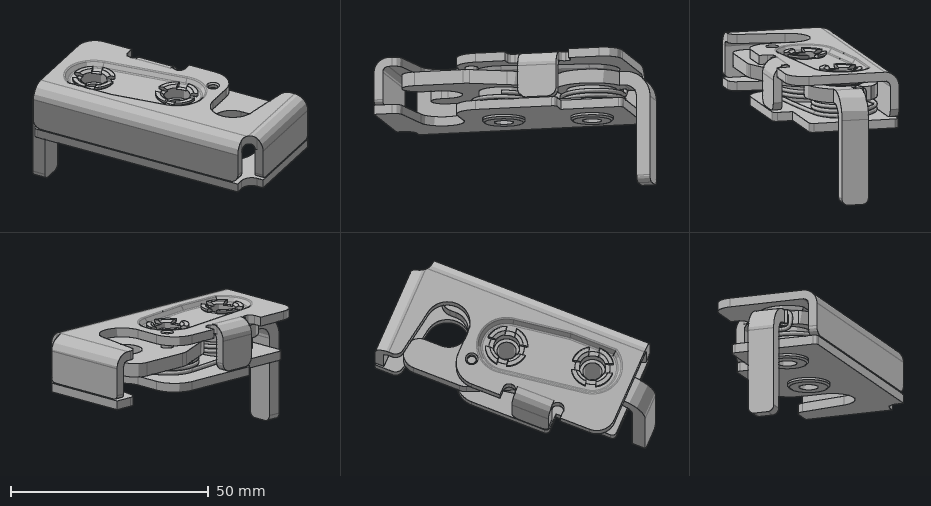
import cadquery as cq
import math

LENGTH = 63.55
WIDTH = 28.55
TOP_Z = 14.55
SHEET = 2.35
WALL_BOTTOM_Z = 2.6
BEND_RADIUS = 3.8
BACK_CORNER_RADIUS = 4.8
WALL_CORNER_RADIUS = 2.2
SMALL_CORNER_RADIUS = 1.1

RELIEF_X = 58.9
RELIEF_Y = 4.9
RELIEF_RADIUS = 2.9

THROAT_LEFT_X = 43.4
THROAT_DIAMETER = 11.4
THROAT_CORNER_RADIUS = 6.35
THROAT_ANGLE = 9
THROAT_TIP_RADIUS = 2.2

TAB_LEFT_X = 16.1
TAB_WIDTH = 10.0
TAB_SLOT_WIDTH = 3.25
TAB_SLOT_RADIUS = 1.6
PLATE_STEP_Y = 23.45

LEFT_PIVOT = (10.7, 12.35)
RIGHT_PIVOT = (32.9, 15.45)
LEFT_NOTCH_ANGLE = 17
RIGHT_NOTCH_ANGLE = 8
PIN_SHANK_DIAMETER = 9
PIN_SHOULDER_DIAMETER = 12.7
PIN_NECK_DIAMETER = 11.1
PIN_HEAD_DIAMETER = 10.75
PIN_HEAD_HEIGHT = 1.05
PIN_HEAD_CHAMFER = 0.5
PIN_CROWN_HEIGHT = 1.0
PIN_CROWN_FLARE = 0.4
PIN_MOUTH_DIAMETER = 8.4
PIN_MOUTH_DEPTH = 0.55
PIN_CUP_DIAMETER = 6.6
PIN_CUP_DEPTH = 3.45
PIN_BORE_DIAMETER = 4.8
PIN_NOTCH_WIDTH = 2.55
PIN_NOTCH_COUNT = 4

POCKET_DEPTH = 1.45
POCKET_TOP_RADIUS = 7.4
POCKET_FLOOR_RADIUS = 6.35
BULGE_TOP_RADIUS = 7.05
BULGE_BOTTOM_RADIUS = 6.55
POCKET_EDGE_RADIUS = 0.5
BULGE_EDGE_RADIUS = 0.6
POCKET_FRONT_CUTBACK = 1.1

PIP_CENTRE = (39.7, 22.2)
PIP_DIAMETER = 3.2
PIP_FLOOR_DIAMETER = 2.35
PIP_RECESS_DEPTH = 1.25

LEVER_BOTTOM_Z = 6.9
LEVER_TOP_Z = 10.4
HUB_RADIUS = 9.25
TRIGGER_LEFT_X = -5.45
TRIGGER_BOTTOM_Z = -18.15
TRIGGER_FRONT_Y = 9.6
TRIGGER_WIDTH = 7.0
TRIGGER_BEND_RADIUS = 6.6
TRIGGER_END_RADIUS = 1.65
JAW_WIDTH = 9.7
JAW_CENTRE_X = 48.7
UPPER_FINGER_END_X = 57.1
LOWER_FINGER_END_X = 53.8
LOWER_FINGER_WIDTH = 6.9
ROTOR_SHOULDER_X = 39.45
ROTOR_SHOULDER_RADIUS = 4.15
ROTOR_BACK_ANGLE = 120
ROTOR_FRONT_ANGLE = -105

WIRE_DIAMETER = 1.05
COIL_RADIUS = 7.85
COIL_PITCH = 1.2
COIL_BOTTOM_Z = 3.05
LEFT_COIL_Y = 11.45
RIGHT_COIL_Y = 14.8
EXTRA_TURNS = 2
HOOK_ANGLE = 186
HOOK_RADIUS = 2.35
HOOK_CLEARANCE = 0.2

UNDERSIDE_Z = TOP_Z - SHEET
POCKET_FLOOR_Z = TOP_Z - POCKET_DEPTH
BULGE_BOTTOM_Z = UNDERSIDE_Z - POCKET_DEPTH
TAB_RIGHT_X = TAB_LEFT_X + TAB_WIDTH
TAB_FRONT_Y = WIDTH - BEND_RADIUS
LEVER_THICKNESS = LEVER_TOP_Z - LEVER_BOTTOM_Z
PIVOTS = [LEFT_PIVOT, RIGHT_PIVOT]


def polar(centre, radius, degrees):
    """Point at a distance and a direction from a centre."""
    angle = math.radians(degrees)
    return (centre[0] + radius * math.cos(angle), centre[1] + radius * math.sin(angle))


def block(x_range, y_range, z_range):
    """Box between two limits on each axis."""
    size = [high - low for low, high in (x_range, y_range, z_range)]
    return cq.Workplane("XY").box(*size, centered=False).translate((x_range[0], y_range[0], z_range[0]))


def cylinder(centre, diameter, bottom, top):
    """Upright cylinder between two heights."""
    return cq.Workplane("XY", origin=(*centre, bottom)).circle(diameter / 2).extrude(top - bottom)


def throat_cut():
    """Tall prism of the striker throat, with the rounded sheet corners on both sides of its mouth."""
    radius = THROAT_DIAMETER / 2
    centre = (THROAT_LEFT_X + radius, RIGHT_PIVOT[1])
    corner_centre = (THROAT_LEFT_X - THROAT_CORNER_RADIUS, WIDTH - THROAT_CORNER_RADIUS)
    lean_start = polar(centre, radius, -THROAT_ANGLE)
    lean = math.radians(THROAT_ANGLE)
    tip_x = lean_start[0] + (WIDTH - lean_start[1]) * math.tan(lean)
    tip_length = THROAT_TIP_RADIUS * math.tan(math.pi / 4 - lean / 2)
    tip_centre = (tip_x + tip_length, WIDTH - THROAT_TIP_RADIUS)
    tip_end_angle = 180 - THROAT_ANGLE
    return (
        cq.Workplane("XY")
        .moveTo(corner_centre[0], WIDTH)
        .threePointArc(polar(corner_centre, THROAT_CORNER_RADIUS, 45), (THROAT_LEFT_X, corner_centre[1]))
        .lineTo(THROAT_LEFT_X, centre[1])
        .threePointArc(polar(centre, radius, -90), lean_start)
        .lineTo(*polar(tip_centre, THROAT_TIP_RADIUS, tip_end_angle))
        .threePointArc(
            polar(tip_centre, THROAT_TIP_RADIUS, (tip_end_angle + 90) / 2), (tip_centre[0], WIDTH)
        )
        .close()
        .extrude(TOP_Z)
    )


def corner_relief_cut():
    """Tall prism of the relief at the front right corner, rounded on the inside."""
    relief = block((RELIEF_X, LENGTH), (0, RELIEF_Y), (0, TOP_Z))
    return relief.edges("|Z and <X and >Y").fillet(RELIEF_RADIUS)


def bend(plane, length):
    """Quarter bend from the outer face at local X 0 up to the top sheet, extruded along the plane normal."""
    inner_radius = BEND_RADIUS - SHEET
    centre = (BEND_RADIUS, TOP_Z - BEND_RADIUS)
    return (
        cq.Workplane(plane)
        .moveTo(0, centre[1])
        .threePointArc(polar(centre, BEND_RADIUS, 135), (BEND_RADIUS, TOP_Z))
        .lineTo(BEND_RADIUS, UNDERSIDE_Z)
        .threePointArc(polar(centre, inner_radius, 135), (SHEET, centre[1]))
        .close()
        .extrude(length)
    )


def wall(x_range, y_range, thickness_axis, corner_radius):
    """Flat wall below a bend, with its lower corners rounded."""
    flat = block(x_range, y_range, (WALL_BOTTOM_Z, TOP_Z - BEND_RADIUS))
    return flat.faces("<Z").edges("|" + thickness_axis).fillet(corner_radius)


def front_wall():
    plane = cq.Plane(origin=(0, 0, 0), xDir=(0, 1, 0), normal=(1, 0, 0))
    flat = wall((0, RELIEF_X), (0, SHEET), "Y", WALL_CORNER_RADIUS)
    return flat.union(bend(plane, LENGTH - BEND_RADIUS))


def end_flange():
    plane = cq.Plane(origin=(LENGTH, BEND_RADIUS, 0), xDir=(-1, 0, 0), normal=(0, 1, 0))
    flat = wall((LENGTH - SHEET, LENGTH), (RELIEF_Y, WIDTH), "X", SMALL_CORNER_RADIUS)
    return flat.union(bend(plane, WIDTH - BEND_RADIUS))


def rear_tab():
    plane = cq.Plane(origin=(TAB_RIGHT_X, WIDTH, 0), xDir=(0, -1, 0), normal=(-1, 0, 0))
    flat = wall((TAB_LEFT_X, TAB_RIGHT_X), (WIDTH - SHEET, WIDTH), "Y", WALL_CORNER_RADIUS)
    return flat.union(bend(plane, TAB_WIDTH))


def tab_slot(left_x):
    """Relief slot beside the rear tab, with a round inner end."""
    slot = block((left_x, left_x + TAB_SLOT_WIDTH), (TAB_FRONT_Y, WIDTH), (UNDERSIDE_Z, TOP_Z))
    return slot.edges("|Z and <Y").fillet(TAB_SLOT_RADIUS)


def top_sheet():
    sheet = block((0, LENGTH - BEND_RADIUS), (BEND_RADIUS, WIDTH), (UNDERSIDE_Z, TOP_Z))
    sheet = sheet.edges("|Z and <X and >Y").fillet(BACK_CORNER_RADIUS)
    tab_space = block((TAB_LEFT_X, TAB_RIGHT_X), (TAB_FRONT_Y, WIDTH), (UNDERSIDE_Z, TOP_Z))
    sheet = sheet.cut(tab_space)
    for left_x in (TAB_LEFT_X - TAB_SLOT_WIDTH, TAB_RIGHT_X):
        sheet = sheet.cut(tab_slot(left_x))
    return sheet


def pocket_outline(work, radius):
    """Outline round both pins at one radius, cut off flat along the front of the left pin."""
    run = RIGHT_PIVOT[0] - LEFT_PIVOT[0]
    rise = RIGHT_PIVOT[1] - LEFT_PIVOT[1]
    tilt = math.degrees(math.atan2(rise, run))
    flat_depth = radius - POCKET_FRONT_CUTBACK
    flat_y = LEFT_PIVOT[1] - flat_depth
    flat_left_x = LEFT_PIVOT[0] - math.sqrt(radius**2 - flat_depth**2)
    lower_left = polar(LEFT_PIVOT, radius, tilt - 90)
    flat_right_x = lower_left[0] + (flat_y - lower_left[1]) * run / rise
    return (
        work.moveTo(flat_left_x, flat_y)
        .threePointArc(polar(LEFT_PIVOT, radius, 180), polar(LEFT_PIVOT, radius, tilt + 90))
        .lineTo(*polar(RIGHT_PIVOT, radius, tilt + 90))
        .threePointArc(polar(RIGHT_PIVOT, radius, tilt), polar(RIGHT_PIVOT, radius, tilt - 90))
        .lineTo(flat_right_x, flat_y)
        .close()
    )


def pocket_shape(bottom_z, bottom_radius, top_z, top_radius):
    """Solid with sloping sides between two pocket outlines."""
    lower = pocket_outline(cq.Workplane("XY", origin=(0, 0, bottom_z)), bottom_radius)
    return pocket_outline(lower.workplane(offset=top_z - bottom_z), top_radius).loft(ruled=True)


def add_pocket(housing):
    """Press the pin pocket into the top, with the bulge it leaves below."""
    bulge = pocket_shape(BULGE_BOTTOM_Z, BULGE_BOTTOM_RADIUS, UNDERSIDE_Z, BULGE_TOP_RADIUS)
    bulge = bulge.faces("<Z").edges().fillet(BULGE_EDGE_RADIUS)
    pocket = pocket_shape(POCKET_FLOOR_Z, POCKET_FLOOR_RADIUS, TOP_Z, POCKET_TOP_RADIUS)
    pocket = pocket.faces("<Z").edges().fillet(POCKET_EDGE_RADIUS)
    housing = housing.union(bulge).cut(pocket)
    rim = cq.selectors.BoxSelector(
        (LEFT_PIVOT[0] - POCKET_TOP_RADIUS, LEFT_PIVOT[1] - POCKET_TOP_RADIUS, POCKET_FLOOR_Z),
        (RIGHT_PIVOT[0] + POCKET_TOP_RADIUS, RIGHT_PIVOT[1] + POCKET_TOP_RADIUS, TOP_Z + SHEET),
    )
    return housing.faces(">Z").edges(rim).fillet(POCKET_EDGE_RADIUS)


def add_stop_pip(housing):
    """Press the stop pip out of the underside, with a recess above it that is chamfered at the rim."""
    housing = housing.union(cylinder(PIP_CENTRE, PIP_DIAMETER, BULGE_BOTTOM_Z, UNDERSIDE_Z))
    recess = cylinder(PIP_CENTRE, PIP_FLOOR_DIAMETER, TOP_Z - PIP_RECESS_DEPTH, TOP_Z)
    chamfer = (PIP_DIAMETER - PIP_FLOOR_DIAMETER) / 2
    rim = cq.Workplane("XY", origin=(*PIP_CENTRE, TOP_Z - chamfer)).circle(PIP_FLOOR_DIAMETER / 2)
    rim = rim.workplane(offset=chamfer).circle(PIP_DIAMETER / 2).loft()
    return housing.cut(recess).cut(rim)


def make_housing():
    housing = top_sheet().union(front_wall()).union(end_flange()).union(rear_tab())
    housing = housing.cut(throat_cut()).cut(corner_relief_cut())
    housing = add_stop_pip(add_pocket(housing))
    for pivot in PIVOTS:
        housing = housing.cut(cylinder(pivot, PIN_SHANK_DIAMETER, BULGE_BOTTOM_Z, TOP_Z))
    return housing


def make_plate():
    plate = block((0, LENGTH), (0, WIDTH), (0, SHEET))
    plate = plate.cut(block((0, TAB_LEFT_X), (PLATE_STEP_Y, WIDTH), (0, SHEET)))
    for corner in ((0, 0), (0, PLATE_STEP_Y), (TAB_LEFT_X, WIDTH)):
        corner_edge = cq.selectors.NearestToPointSelector((*corner, SHEET / 2))
        plate = plate.edges(corner_edge).fillet(SMALL_CORNER_RADIUS)
    plate = plate.cut(throat_cut()).cut(corner_relief_cut())
    for pivot in PIVOTS:
        plate = plate.cut(cylinder(pivot, PIN_SHANK_DIAMETER, 0, SHEET))
    return plate


def make_pin(pivot, notch_angle):
    """Riveted hollow pin: head under the plate, stepped barrel, notched crown in the pocket."""
    head = PIN_HEAD_DIAMETER / 2
    shank = PIN_SHANK_DIAMETER / 2
    shoulder = PIN_SHOULDER_DIAMETER / 2
    neck = PIN_NECK_DIAMETER / 2
    bore = PIN_BORE_DIAMETER / 2
    cup = PIN_CUP_DIAMETER / 2
    crown_z = POCKET_FLOOR_Z + PIN_CROWN_HEIGHT
    profile = [
        (bore, -PIN_HEAD_HEIGHT),
        (head - PIN_HEAD_CHAMFER, -PIN_HEAD_HEIGHT),
        (head, PIN_HEAD_CHAMFER - PIN_HEAD_HEIGHT),
        (head, 0),
        (shank, 0),
        (shank, SHEET),
        (shoulder, SHEET),
        (shoulder, LEVER_BOTTOM_Z),
        (neck, LEVER_BOTTOM_Z),
        (neck, BULGE_BOTTOM_Z),
        (shank, BULGE_BOTTOM_Z),
        (shank, POCKET_FLOOR_Z),
        (head - PIN_CROWN_FLARE, POCKET_FLOOR_Z),
        (head, POCKET_FLOOR_Z + PIN_CROWN_FLARE),
        (head, crown_z),
        (PIN_MOUTH_DIAMETER / 2, crown_z),
        (cup, crown_z - PIN_MOUTH_DEPTH),
        (cup, crown_z - PIN_CUP_DEPTH),
        (bore, crown_z - PIN_CUP_DEPTH),
    ]
    pin = cq.Workplane("XZ").polyline(profile).close().revolve(360, (0, 0), (0, 1))
    half_notch = PIN_NOTCH_WIDTH / 2
    notch = block((0, head), (-half_notch, half_notch), (POCKET_FLOOR_Z, crown_z))
    for index in range(PIN_NOTCH_COUNT):
        turn = notch_angle + index * 360 / PIN_NOTCH_COUNT
        pin = pin.cut(notch.rotate((0, 0, 0), (0, 0, 1), turn))
    return pin.translate((*pivot, 0))


def trigger_arm():
    """Flat arm bent down into the finger pull."""
    centre = (TRIGGER_LEFT_X + TRIGGER_BEND_RADIUS, LEVER_TOP_Z - TRIGGER_BEND_RADIUS)
    inner_radius = TRIGGER_BEND_RADIUS - LEVER_THICKNESS
    inner_x = TRIGGER_LEFT_X + LEVER_THICKNESS
    arm = (
        cq.Workplane("XZ", origin=(0, TRIGGER_FRONT_Y, 0))
        .moveTo(TRIGGER_LEFT_X, TRIGGER_BOTTOM_Z)
        .lineTo(TRIGGER_LEFT_X, centre[1])
        .threePointArc(polar(centre, TRIGGER_BEND_RADIUS, 135), (centre[0], LEVER_TOP_Z))
        .lineTo(LEFT_PIVOT[0], LEVER_TOP_Z)
        .lineTo(LEFT_PIVOT[0], LEVER_BOTTOM_Z)
        .lineTo(centre[0], LEVER_BOTTOM_Z)
        .threePointArc(polar(centre, inner_radius, 135), (inner_x, centre[1]))
        .lineTo(inner_x, TRIGGER_BOTTOM_Z)
        .close()
        .extrude(-TRIGGER_WIDTH)
    )
    return arm.faces("<Z").edges("|X").fillet(TRIGGER_END_RADIUS)


def hook_start():
    """Point in plan where the left coil ends and its hook begins."""
    return polar((LEFT_PIVOT[0], LEFT_COIL_Y), COIL_RADIUS, HOOK_ANGLE)


def make_trigger():
    trigger = trigger_arm().union(cylinder(LEFT_PIVOT, 2 * HUB_RADIUS, LEVER_BOTTOM_Z, LEVER_TOP_Z))
    trigger = trigger.cut(cylinder(LEFT_PIVOT, PIN_NECK_DIAMETER, LEVER_BOTTOM_Z, LEVER_TOP_Z))
    hook_x, hook_y = hook_start()
    half_notch = WIRE_DIAMETER / 2 + HOOK_CLEARANCE
    hook_notch = block(
        (hook_x - half_notch, hook_x + half_notch),
        (0, hook_y + half_notch),
        (LEVER_BOTTOM_Z, LEVER_TOP_Z),
    )
    return trigger.cut(hook_notch)


def make_rotor():
    """Fork-shaped catch: hub on the right pin and two fingers either side of the jaw."""
    jaw_half = JAW_WIDTH / 2
    jaw_top = RIGHT_PIVOT[1] + jaw_half
    jaw_bottom = RIGHT_PIVOT[1] - jaw_half
    upper_radius = (WIDTH - jaw_top) / 2
    upper_end_x = UPPER_FINGER_END_X - upper_radius
    lower_radius = LOWER_FINGER_WIDTH / 2
    lower_end_x = LOWER_FINGER_END_X - lower_radius
    rotor = (
        cq.Workplane("XY", origin=(0, 0, LEVER_BOTTOM_Z))
        .moveTo(*polar(RIGHT_PIVOT, HUB_RADIUS, ROTOR_BACK_ANGLE))
        .lineTo(ROTOR_SHOULDER_X, WIDTH)
        .lineTo(upper_end_x, WIDTH)
        .threePointArc((UPPER_FINGER_END_X, jaw_top + upper_radius), (upper_end_x, jaw_top))
        .lineTo(JAW_CENTRE_X, jaw_top)
        .threePointArc((JAW_CENTRE_X - jaw_half, RIGHT_PIVOT[1]), (JAW_CENTRE_X, jaw_bottom))
        .lineTo(lower_end_x, jaw_bottom)
        .threePointArc(
            (LOWER_FINGER_END_X, jaw_bottom - lower_radius), (lower_end_x, jaw_bottom - LOWER_FINGER_WIDTH)
        )
        .lineTo(JAW_CENTRE_X - jaw_half, jaw_bottom - LOWER_FINGER_WIDTH)
        .lineTo(*polar(RIGHT_PIVOT, HUB_RADIUS, ROTOR_FRONT_ANGLE))
        .close()
        .extrude(LEVER_THICKNESS)
    )
    shoulder = (ROTOR_SHOULDER_X, WIDTH, LEVER_BOTTOM_Z + LEVER_THICKNESS / 2)
    rotor = rotor.edges(cq.selectors.NearestToPointSelector(shoulder)).fillet(ROTOR_SHOULDER_RADIUS)
    rotor = rotor.union(cylinder(RIGHT_PIVOT, 2 * HUB_RADIUS, LEVER_BOTTOM_Z, LEVER_TOP_Z))
    return rotor.cut(cylinder(RIGHT_PIVOT, PIN_NECK_DIAMETER, LEVER_BOTTOM_Z, LEVER_TOP_Z))


def wire_along(path, start, direction):
    """Round wire swept along a path."""
    plane = cq.Plane(origin=start, normal=direction)
    return cq.Workplane(plane).circle(WIRE_DIAMETER / 2).sweep(cq.Workplane(obj=path), isFrenet=True)


def wire_through(points, directions):
    """Round wire swept along a smooth curve with given end directions."""
    vectors = [cq.Vector(*point) for point in points]
    curve = cq.Edge.makeSpline(vectors, tangents=[cq.Vector(*direction) for direction in directions])
    return wire_along(cq.Wire.assembleEdges([curve]), points[0], directions[0])


def climb_direction(angle, turn):
    """Wire direction at an angle round a coil; turn is 1 for counterclockwise, -1 for clockwise."""
    along = polar((0, 0), turn, angle + 90)
    return (*along, COIL_PITCH / (2 * math.pi * COIL_RADIUS))


def make_coil(centre, start_angle, sweep_angle):
    """Coil that climbs from the lowest turn; a negative sweep winds clockwise."""
    height = COIL_PITCH * abs(sweep_angle) / 360
    path = cq.Wire.makeHelix(COIL_PITCH, height, COIL_RADIUS, lefthand=sweep_angle < 0)
    turn = math.copysign(1, sweep_angle)
    coil = wire_along(path, (COIL_RADIUS, 0, 0), climb_direction(0, turn))
    return coil.rotate((0, 0, 0), (0, 0, 1), start_angle).translate((*centre, COIL_BOTTOM_Z))


def make_spring():
    """One wire: left coil with its hook, a bridge along the back, and the right coil."""
    left_centre = (LEFT_PIVOT[0], LEFT_COIL_Y)
    right_centre = (RIGHT_PIVOT[0], RIGHT_COIL_Y)
    run = right_centre[0] - left_centre[0]
    rise = right_centre[1] - left_centre[1]
    bridge_angle = math.degrees(math.atan2(rise, run)) + 90
    left_sweep = 360 * EXTRA_TURNS + HOOK_ANGLE - bridge_angle

    left_coil = make_coil(left_centre, bridge_angle, left_sweep)
    right_coil = make_coil(right_centre, bridge_angle, -360 * EXTRA_TURNS)

    bridge_ends = [
        (*polar(centre, COIL_RADIUS, bridge_angle), COIL_BOTTOM_Z) for centre in (left_centre, right_centre)
    ]
    left_climb = climb_direction(bridge_angle, 1)
    right_climb = climb_direction(bridge_angle, -1)
    left_descent = [-part for part in left_climb]
    bridge = wire_through(bridge_ends, [left_descent, right_climb])

    hook_x, hook_y = hook_start()
    hook_z = COIL_BOTTOM_Z + COIL_PITCH * left_sweep / 360
    hook_points = [
        (hook_x, hook_y, hook_z),
        (hook_x, hook_y - HOOK_RADIUS, hook_z + HOOK_RADIUS),
        (hook_x, hook_y, hook_z + 2 * HOOK_RADIUS),
    ]
    hook = wire_through(hook_points, [climb_direction(HOOK_ANGLE, 1), (0, 1, 0)])
    return left_coil.union(bridge).union(right_coil).union(hook)


housing = make_housing()
plate = make_plate()
trigger = make_trigger()
rotor = make_rotor()
spring = make_spring()
pins = [
    make_pin(pivot, notch_angle)
    for pivot, notch_angle in zip(PIVOTS, (LEFT_NOTCH_ANGLE, RIGHT_NOTCH_ANGLE))
]

result = cq.Compound.makeCompound(
    [housing.val(), plate.val(), trigger.val(), rotor.val(), spring.val(), *[pin.val() for pin in pins]]
)